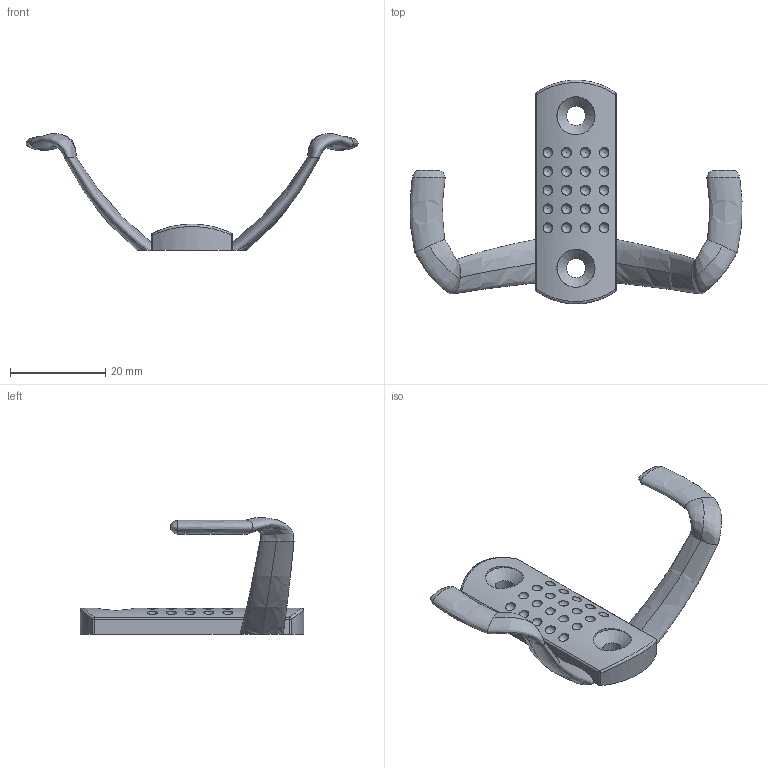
import cadquery as cq
import math

PLATE_WIDTH = 17.0
PLATE_LENGTH = 46.97
END_BOW = 2.75
PLATE_HEIGHT = 5.5
SIDE_HEIGHT = 3.5
EDGE_RADIUS = 0.5

HOLE_PITCH = 32.0
HOLE_DIAMETER = 4.0
SINK_DIAMETER = 8.0
SINK_TOP = 5.0
SINK_DEPTH = (SINK_DIAMETER - HOLE_DIAMETER) / 2

DIMPLE_DIAMETER = 2.1
DIMPLE_PITCH = 3.95
DIMPLE_COLUMNS = 4
DIMPLE_ROWS = 5
DIMPLE_CENTRE_Y = 0.4

ARM_FOOT = (8.9, -14.6, 0.0)
ARM_TOP = (25.55, -17.85, 19.6)
ARM_BULGE = 1.4
ARM_FOOT_HALF = (4.55, 2.6)
ARM_TOP_HALF = (3.6, 1.25)
ARM_TOP_SKEW = 0.1
ARM_STEPS = 3

BEND_HALF_WIDTH = 3.45
BEND_SECTIONS = [
    ((26.3, -17.5, 21.8), (0.45, 0.20, 0.87), (0.35, -0.93, 0.15), 1.45),
    ((28.4, -15.0, 23.14), (0.60, 0.55, 0.45), (0.65, -0.76, 0.06), 1.45),
]

FINGER_Z = 22.5
FINGER_OUTER_X = 34.895
FINGER_HALF_WIDTH = 3.45
FINGER_HALF_THICKNESS = 1.48
FINGER_RADIUS = 42.0
FINGER_CENTRE_Y = -3.6
FINGER_START_Y = -11.35
FINGER_END_Y = 3.0
FINGER_START_TURN = 25.0
FINGER_STEPS = 3

TIP_SECTIONS = [(0.9, 3.1, 1.2), (1.55, 2.3, 0.5)]


def crown_radius(half_chord, rise):
    return (half_chord ** 2 + rise ** 2) / (2 * rise)


def crown_height(x):
    radius = crown_radius(PLATE_WIDTH / 2, PLATE_HEIGHT - SIDE_HEIGHT)
    return PLATE_HEIGHT - radius + math.sqrt(radius ** 2 - x ** 2)


def make_plate():
    half_width = PLATE_WIDTH / 2
    half_length = PLATE_LENGTH / 2
    corner_y = half_length - END_BOW
    plan = (
        cq.Workplane("XY")
        .moveTo(-half_width, -corner_y)
        .threePointArc((0, -half_length), (half_width, -corner_y))
        .lineTo(half_width, corner_y)
        .threePointArc((0, half_length), (-half_width, corner_y))
        .close()
        .extrude(PLATE_HEIGHT)
    )
    plan = plan.edges("|Z").fillet(EDGE_RADIUS)
    profile = (
        cq.Workplane("XZ")
        .moveTo(-half_width, 0)
        .lineTo(half_width, 0)
        .lineTo(half_width, SIDE_HEIGHT)
        .threePointArc((0, PLATE_HEIGHT), (-half_width, SIDE_HEIGHT))
        .close()
        .extrude(half_length, both=True)
    )
    return plan.intersect(profile).faces(">Z").edges().fillet(EDGE_RADIUS)


def make_screw_hole(y):
    cone_bottom = SINK_TOP - SINK_DEPTH
    return (
        cq.Workplane("XZ")
        .lineTo(HOLE_DIAMETER / 2, 0)
        .lineTo(HOLE_DIAMETER / 2, cone_bottom)
        .lineTo(SINK_DIAMETER / 2, SINK_TOP)
        .lineTo(SINK_DIAMETER / 2, PLATE_HEIGHT)
        .lineTo(0, PLATE_HEIGHT)
        .close()
        .revolve(360, (0, 0), (0, 1))
        .translate((0, y, 0))
    )


def cut_dimples(plate):
    for column in range(DIMPLE_COLUMNS):
        x = (column - (DIMPLE_COLUMNS - 1) / 2) * DIMPLE_PITCH
        for row in range(DIMPLE_ROWS):
            y = DIMPLE_CENTRE_Y + (row - (DIMPLE_ROWS - 1) / 2) * DIMPLE_PITCH
            dimple = cq.Workplane("XY").sphere(DIMPLE_DIAMETER / 2)
            plate = plate.cut(dimple.translate((x, y, crown_height(x))))
    return plate


def ellipse(centre, normal, width_direction, half_width, half_thickness, start=0, end=360):
    return cq.Edge.makeEllipse(
        half_width,
        half_thickness,
        cq.Vector(*centre),
        cq.Vector(*normal),
        cq.Vector(*width_direction),
        start,
        end,
    )


def split_section(*shape):
    """Elliptical wire of two halves, which meet in the middle of each broad face."""
    return cq.Wire.assembleEdges([ellipse(*shape, 90, 270), ellipse(*shape, 270, 450)])


def whole_section(*shape):
    return cq.Wire.assembleEdges([ellipse(*shape)])


def arm_sections():
    foot = cq.Vector(*ARM_FOOT)
    chord = cq.Vector(*ARM_TOP) - foot
    bulge_direction = cq.Vector(chord.z, 0, -chord.x).normalized()
    sections = []
    for step in range(ARM_STEPS + 1):
        t = step / ARM_STEPS
        centre = foot + chord * t + bulge_direction * (4 * ARM_BULGE * t * (1 - t))
        half_width = ARM_FOOT_HALF[0] + t * (ARM_TOP_HALF[0] - ARM_FOOT_HALF[0])
        half_thickness = ARM_FOOT_HALF[1] + t * (ARM_TOP_HALF[1] - ARM_FOOT_HALF[1])
        width_direction = (ARM_TOP_SKEW * t, -1, 0)
        sections.append(
            split_section(centre.toTuple(), (0, 0, 1), width_direction, half_width, half_thickness)
        )
    return sections


def bend_sections():
    return [
        split_section(centre, travel, width_direction, BEND_HALF_WIDTH, half_thickness)
        for centre, travel, width_direction, half_thickness in BEND_SECTIONS
    ]


def finger_section(t, section=whole_section):
    y = FINGER_START_Y + t * (FINGER_END_Y - FINGER_START_Y)
    arc_centre_x = FINGER_OUTER_X - FINGER_HALF_WIDTH - FINGER_RADIUS
    x = arc_centre_x + math.sqrt(FINGER_RADIUS ** 2 - (y - FINGER_CENTRE_Y) ** 2)
    turn = math.radians(FINGER_START_TURN) * (1 - t) ** 2
    travel = (math.sin(turn), math.cos(turn), 0)
    outward = (math.cos(turn), -math.sin(turn), 0)
    return section((x, y, FINGER_Z), travel, outward, FINGER_HALF_WIDTH, FINGER_HALF_THICKNESS)


def finger_sections():
    return [finger_section(step / FINGER_STEPS) for step in range(FINGER_STEPS + 1)]


def tip_sections(finger_end):
    sections = []
    for distance, half_width, half_thickness in TIP_SECTIONS:
        centre = finger_end.Center() + cq.Vector(0, distance, 0)
        sections.append(
            whole_section(centre.toTuple(), (0, 1, 0), (1, 0, 0), half_width, half_thickness)
        )
    return sections


def make_hook():
    arm = arm_sections()
    finger = finger_sections()
    bend = [arm[-1]] + bend_sections() + [finger_section(0, split_section)]
    tip = [finger[-1]] + tip_sections(finger[-1])
    hook = cq.Workplane(cq.Solid.makeLoft(arm))
    for sections in (bend, finger, tip):
        hook = hook.union(cq.Workplane(cq.Solid.makeLoft(sections)))
    return hook


plate = cut_dimples(make_plate())
hook = make_hook()
result = plate.union(hook).union(hook.mirror("YZ"))
for hole_y in (-HOLE_PITCH / 2, HOLE_PITCH / 2):
    result = result.cut(make_screw_hole(hole_y))